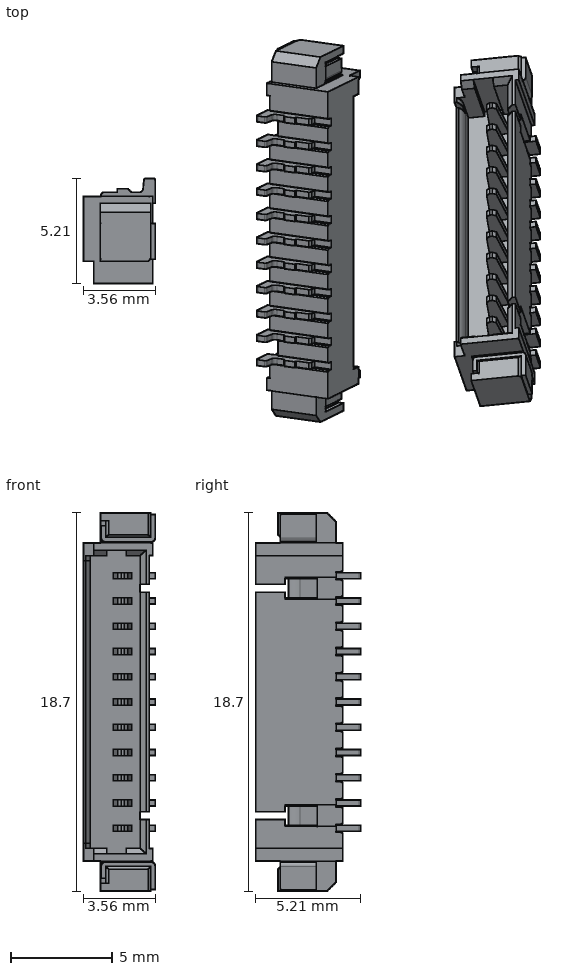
import cadquery as cq
import math


PIN_COUNT = 11
PITCH = 1.25
PIN_HEIGHT = 0.31

BODY_WIDTH = 3.44
BODY_DEPTH = 4.315
BODY_HALF_HEIGHT = 7.87
FRONT_Y = -BODY_DEPTH
SIDE_RECESS_X = 3.27

CAVITY_LEFT_X = 0.34
CAVITY_RIGHT_X = 2.81
CAVITY_FLOOR_Y = -1.28
CAVITY_HALF_HEIGHT = 7.245
LEAD_IN_DEPTH = 0.38
LEAD_IN_SIDE = 0.305
LEAD_IN_END = 0.275
KEYWAY_LEFT_X = 1.15
KEYWAY_RIGHT_X = 2.12

END_STEP_X = 0.51
END_STEP_Y = -3.22
LOW_WALL_Y = -2.70
LOW_WALL_HALF_HEIGHT = 6.99
WALL_LIP = 0.11
WALL_ROUND_RADIUS = 0.8

SLOT_Z = (PIN_COUNT - 2) * PITCH / 2
SLOT_HEIGHT = 0.38
SLOT_BASE_HEIGHT = 1.07
SLOT_BASE_Y = -2.86

GROOVE_DEPTH = 0.34
GROOVE_HEIGHT = 0.38
GROOVE_MOUTH = 0.50
GROOVE_MOUTH_DEPTH = 0.11

TAIL_LEFT_X = 0.86
TAIL_TOE_X = 3.56
TAIL_BACK_Y = 0.21
TAIL_CORNER = 0.11
TAIL_TOE_Y = 0.895
BUMP_START_X = 1.67
BUMP_END_X = 2.21
BUMP_RISE = 0.17
HEEL_X = 2.93
TOE_INNER_X = 3.00
HEEL_RADIUS = 0.18
TOE_RADIUS = 0.10
BLADE_CENTRE_X = 1.945
BLADE_BASE_WIDTH = 0.91
BLADE_NECK_WIDTH = 0.49
BLADE_TIP_WIDTH = 0.14
BLADE_NECK_Y = -3.65
BLADE_TIP_Y = -3.78

BLOCK_LEFT_X = 0.84
BLOCK_BACK_Y = -0.33
BLOCK_FRONT_Y = END_STEP_Y
BLOCK_TOP_Z = 9.36
BLOCK_BEVEL = 0.45
NAIL_THICKNESS = 0.22
NAIL_BACK_Y = -1.33
NAIL_FRONT_Y = -3.11
NAIL_LEFT_X = 0.89
NAIL_RIGHT_X = TAIL_TOE_X
NAIL_BOTTOM_Z = 7.92
NAIL_HOOK_TOP_Z = 8.73
NAIL_PLATE_TOP_Z = 9.29
NAIL_BEND_RADIUS = 0.2
NAIL_POCKET_TOP_Z = 8.96
CORE_LEFT_X = NAIL_LEFT_X + NAIL_THICKNESS
CORE_RIGHT_X = NAIL_RIGHT_X - NAIL_THICKNESS
CORE_BOTTOM_Z = NAIL_BOTTOM_Z + NAIL_THICKNESS
CORE_BEVEL = 0.14
PAD_BEVEL = 0.04

CLEARANCE = 1.0


def box(x_min, x_max, y_min, y_max, z_min, z_max):
    """Box between two opposite corners."""
    size = (x_max - x_min, y_max - y_min, z_max - z_min)
    return cq.Workplane("XY").box(*size, centered=False).translate((x_min, y_min, z_min))


def upright_box(x_min, x_max, y_min, y_max, half_height):
    """Box centred on the mid-height of the connector."""
    return box(x_min, x_max, y_min, y_max, -half_height, half_height)


def cavity(wall_y, half_height):
    """Mating cavity whose -X wall ends at wall_y, with a rounded inner edge on that wall."""
    setback = CAVITY_LEFT_X - WALL_LIP
    end_angle = math.acos(1 - setback / WALL_ROUND_RADIUS)
    tangent_y = wall_y + WALL_ROUND_RADIUS * math.sin(end_angle)
    centre_x = CAVITY_LEFT_X - WALL_ROUND_RADIUS
    mid_point = (
        centre_x + WALL_ROUND_RADIUS * math.cos(end_angle / 2),
        tangent_y - WALL_ROUND_RADIUS * math.sin(end_angle / 2),
    )
    return (
        cq.Workplane("XY", origin=(0, 0, -half_height))
        .moveTo(CAVITY_LEFT_X, CAVITY_FLOOR_Y)
        .lineTo(CAVITY_RIGHT_X, CAVITY_FLOOR_Y)
        .lineTo(CAVITY_RIGHT_X, FRONT_Y)
        .lineTo(0, FRONT_Y)
        .lineTo(0, wall_y)
        .lineTo(WALL_LIP, wall_y)
        .threePointArc(mid_point, (CAVITY_LEFT_X, tangent_y))
        .close()
        .extrude(2 * half_height)
    )


def lead_in():
    """Flared mouth along the +X wall and both end walls."""
    inner_width = CAVITY_RIGHT_X - CAVITY_LEFT_X
    outer_width = inner_width + LEAD_IN_SIDE
    outer_half_height = CAVITY_HALF_HEIGHT + LEAD_IN_END
    return (
        cq.Workplane("XZ", origin=(CAVITY_LEFT_X, FRONT_Y + LEAD_IN_DEPTH, 0))
        .center(inner_width / 2, 0)
        .rect(inner_width, 2 * CAVITY_HALF_HEIGHT)
        .workplane(offset=LEAD_IN_DEPTH)
        .center(LEAD_IN_SIDE / 2, 0)
        .rect(outer_width, 2 * outer_half_height)
        .loft()
    )


def wall_slot(centre_z):
    """T-shaped opening through the +X wall, wide from the back face and narrow at the mouth."""
    outside_x = BODY_WIDTH + CLEARANCE
    narrow = upright_box(CAVITY_RIGHT_X, outside_x, FRONT_Y, 0, SLOT_HEIGHT / 2)
    wide = upright_box(CAVITY_RIGHT_X, outside_x, SLOT_BASE_Y, 0, SLOT_BASE_HEIGHT / 2)
    return narrow.union(wide).translate((0, 0, centre_z))


def tail_groove(centre_z):
    """Groove across the back face with a bevelled mouth."""
    half = GROOVE_HEIGHT / 2
    half_mouth = GROOVE_MOUTH / 2
    outline = [
        (0, -half_mouth),
        (-GROOVE_MOUTH_DEPTH, -half),
        (-GROOVE_DEPTH, -half),
        (-GROOVE_DEPTH, half),
        (-GROOVE_MOUTH_DEPTH, half),
        (0, half_mouth),
    ]
    groove = cq.Workplane("YZ").polyline(outline).close().extrude(BODY_WIDTH)
    return groove.translate((0, 0, centre_z))


def make_housing():
    housing = upright_box(0, BODY_WIDTH, FRONT_Y, 0, BODY_HALF_HEIGHT)
    housing = housing.cut(upright_box(SIDE_RECESS_X, BODY_WIDTH, FRONT_Y, 0, CAVITY_HALF_HEIGHT))
    housing = housing.cut(upright_box(0, END_STEP_X, FRONT_Y, END_STEP_Y, BODY_HALF_HEIGHT))
    housing = housing.cut(cavity(END_STEP_Y, CAVITY_HALF_HEIGHT))
    housing = housing.cut(cavity(LOW_WALL_Y, LOW_WALL_HALF_HEIGHT))
    housing = housing.cut(lead_in())
    keyway_half_height = CAVITY_HALF_HEIGHT + LEAD_IN_END
    housing = housing.cut(
        upright_box(KEYWAY_LEFT_X, KEYWAY_RIGHT_X, FRONT_Y, CAVITY_FLOOR_Y, keyway_half_height)
    )
    for slot_z in (-SLOT_Z, SLOT_Z):
        housing = housing.cut(wall_slot(slot_z))
    return housing


def make_tail():
    """Solder tail lying in its back groove, with a bump and an upturned toe."""
    bump_y = TAIL_BACK_Y + BUMP_RISE
    outline = [
        (TAIL_LEFT_X, -GROOVE_DEPTH),
        (TAIL_TOE_X, -GROOVE_DEPTH),
        (TAIL_TOE_X, TAIL_TOE_Y),
        (TOE_INNER_X, TAIL_TOE_Y),
        (HEEL_X, TAIL_BACK_Y),
        (BUMP_END_X + BUMP_RISE, TAIL_BACK_Y),
        (BUMP_END_X, bump_y),
        (BUMP_START_X, bump_y),
        (BUMP_START_X, TAIL_BACK_Y),
        (TAIL_LEFT_X, TAIL_BACK_Y),
    ]
    tail = cq.Workplane("XY").polyline(outline).close().extrude(PIN_HEIGHT)
    tail = tail.edges("|Z and <X").chamfer(TAIL_CORNER)
    tail = tail.edges("|Z and >Y").fillet(TOE_RADIUS)
    tail = tail.edges(cq.NearestToPointSelector((HEEL_X, TAIL_BACK_Y, PIN_HEIGHT / 2))).fillet(HEEL_RADIUS)
    return tail


def make_blade():
    """Contact blade that tapers from the cavity floor to a blunt tip."""
    half_widths = [
        (BLADE_BASE_WIDTH / 2, CAVITY_FLOOR_Y),
        (BLADE_NECK_WIDTH / 2, BLADE_NECK_Y),
        (BLADE_TIP_WIDTH / 2, BLADE_TIP_Y),
    ]
    right_side = [(BLADE_CENTRE_X + half, y) for half, y in half_widths]
    left_side = [(BLADE_CENTRE_X - half, y) for half, y in reversed(half_widths)]
    return cq.Workplane("XY").polyline(right_side + left_side).close().extrude(PIN_HEIGHT)


def make_end_block():
    """Block above the upper end wall: a bevelled back part and a core wrapped by the nail."""
    back = box(BLOCK_LEFT_X, CORE_RIGHT_X, NAIL_BACK_Y, BLOCK_BACK_Y, BODY_HALF_HEIGHT, BLOCK_TOP_Z)
    back = back.edges(">Y and >Z").chamfer(BLOCK_BEVEL)
    core_outline = [
        (BLOCK_LEFT_X, BLOCK_TOP_Z),
        (BLOCK_LEFT_X, NAIL_POCKET_TOP_Z),
        (CORE_LEFT_X, NAIL_POCKET_TOP_Z),
        (CORE_LEFT_X, CORE_BOTTOM_Z),
        (CORE_RIGHT_X, CORE_BOTTOM_Z),
        (CORE_RIGHT_X, BLOCK_TOP_Z),
    ]
    core = (
        cq.Workplane("XZ", origin=(0, NAIL_BACK_Y, 0))
        .polyline(core_outline)
        .close()
        .extrude(NAIL_BACK_Y - BLOCK_FRONT_Y)
    )
    core_sides = [
        (CORE_LEFT_X, BLOCK_FRONT_Y, (CORE_BOTTOM_Z + NAIL_POCKET_TOP_Z) / 2),
        ((CORE_LEFT_X + CORE_RIGHT_X) / 2, BLOCK_FRONT_Y, CORE_BOTTOM_Z),
        (CORE_RIGHT_X, BLOCK_FRONT_Y, (CORE_BOTTOM_Z + BLOCK_TOP_Z) / 2),
    ]
    front_edges = core.newObject(
        [core.edges(cq.NearestToPointSelector(point)).val() for point in core_sides]
    )
    return back.union(front_edges.chamfer(CORE_BEVEL))


def make_pad():
    """Thin pad between the end wall and the base strip of the nail, with a sloped rim."""
    pad = box(BLOCK_LEFT_X, CORE_RIGHT_X, NAIL_FRONT_Y, NAIL_BACK_Y, BODY_HALF_HEIGHT, NAIL_BOTTOM_Z)
    pad = pad.edges(">Z and <Y").chamfer(PAD_BEVEL)
    return pad.edges(">Z and <X").chamfer(PAD_BEVEL)


def make_nail():
    """Bent sheet-metal nail around the core: short hook, base strip and tall solder plate."""
    outline = [
        (NAIL_LEFT_X, NAIL_HOOK_TOP_Z),
        (NAIL_LEFT_X, NAIL_BOTTOM_Z),
        (NAIL_RIGHT_X, NAIL_BOTTOM_Z),
        (NAIL_RIGHT_X, NAIL_PLATE_TOP_Z),
        (CORE_RIGHT_X, NAIL_PLATE_TOP_Z),
        (CORE_RIGHT_X, CORE_BOTTOM_Z),
        (CORE_LEFT_X, CORE_BOTTOM_Z),
        (CORE_LEFT_X, NAIL_HOOK_TOP_Z),
    ]
    nail = (
        cq.Workplane("XZ", origin=(0, NAIL_BACK_Y, 0))
        .polyline(outline)
        .close()
        .extrude(NAIL_BACK_Y - NAIL_FRONT_Y)
    )
    return nail.faces("<Z").edges("|Y").fillet(NAIL_BEND_RADIUS)


result = make_housing()

contact_parts = (make_tail(), make_blade())
for index in range(PIN_COUNT):
    pin_z = (index - (PIN_COUNT - 1) / 2) * PITCH
    result = result.cut(tail_groove(pin_z))
    for contact_part in contact_parts:
        result = result.union(contact_part.translate((0, 0, pin_z - PIN_HEIGHT / 2)))

end_fitting = make_end_block().union(make_pad()).union(make_nail())
result = result.union(end_fitting).union(end_fitting.mirror("XY"))